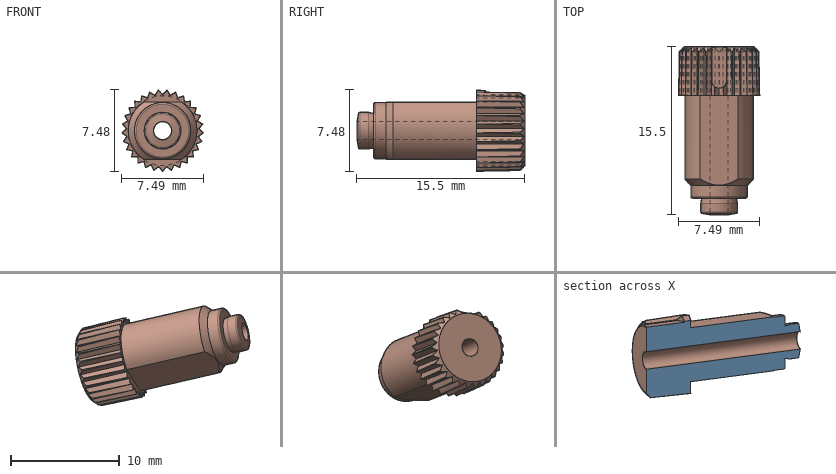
import math
import cadquery as cq

length = 15.5
bore_diameter = 1.65

tip_radius = 3.4 / 2
tip_dome_height = 0.12
tip_edge_radius = 0.15
tip_band_end = 1.05
neck_radius = 1.61

collar_radius = 5.2 / 2
collar_front = 1.53
collar_edge_radius = 0.17

body_radius = 3.16
body_front = 2.7
body_cone_length = 0.6
body_flat_distance = 5.27

tooth_count = 29
tooth_tip_radius = 3.75
tooth_root_radius = 3.33
knob_length = 4.5
knob_back_radius = 3.67
knob_chamfer = 0.46

slot_width = 1.35
slot_length = 3.83
slot_floor_height = 3.24

knob_front = length - knob_length
body_cone_end = body_front + body_cone_length


def ring_around_y(outline):
    """Turn a closed (radius, y) outline into a solid about the Y axis."""
    return outline.close().revolve(360, (0, 0, 0), (0, 1, 0))


def fillet_midpoint(radius, front, edge_radius):
    """Middle of the quarter arc that rounds a front outer edge, as (radius, y)."""
    setback = edge_radius * (1 - math.sqrt(0.5))
    return (radius - setback, front + setback)


def make_tip():
    face_radius = tip_radius - tip_edge_radius
    bore_radius = bore_diameter / 2
    edge_start = (face_radius, tip_dome_height)
    edge_end = (tip_radius, tip_dome_height + tip_edge_radius)
    outline = (
        cq.Workplane("XY")
        .moveTo(0, 0)
        .lineTo(bore_radius, 0)
        .lineTo(*edge_start)
        .threePointArc(fillet_midpoint(tip_radius, tip_dome_height, tip_edge_radius), edge_end)
        .lineTo(tip_radius, tip_band_end)
        .lineTo(neck_radius, collar_front)
        .lineTo(0, collar_front)
    )
    return ring_around_y(outline)


def make_collar():
    outline = (
        cq.Workplane("XY")
        .moveTo(0, collar_front)
        .lineTo(collar_radius - collar_edge_radius, collar_front)
        .threePointArc(
            fillet_midpoint(collar_radius, collar_front, collar_edge_radius),
            (collar_radius, collar_front + collar_edge_radius),
        )
        .lineTo(collar_radius, body_front)
        .lineTo(0, body_front)
    )
    return ring_around_y(outline)


def make_body():
    outline = (
        cq.Workplane("XY")
        .moveTo(0, body_front)
        .lineTo(collar_radius, body_front)
        .lineTo(body_radius, body_cone_end)
        .lineTo(body_radius, knob_front)
        .lineTo(0, knob_front)
    )
    between_flats = cq.Workplane("XY").box(
        2 * body_radius, 2 * length, body_flat_distance
    )
    return ring_around_y(outline).intersect(between_flats)


def make_knob():
    half_pitch = math.pi / tooth_count
    points = []
    for index in range(2 * tooth_count):
        radius = tooth_root_radius if index % 2 else tooth_tip_radius
        angle = index * half_pitch - math.pi / 2
        points.append((radius * math.cos(angle), radius * math.sin(angle)))
    teeth = (
        cq.Workplane("XZ", origin=(0, knob_front, 0))
        .polyline(points)
        .close()
        .extrude(-knob_length)
    )
    chamfer_start = length - knob_chamfer
    envelope = ring_around_y(
        cq.Workplane("XY")
        .moveTo(0, knob_front)
        .lineTo(tooth_tip_radius, knob_front)
        .lineTo(knob_back_radius, chamfer_start)
        .lineTo(knob_back_radius - knob_chamfer, length)
        .lineTo(0, length)
    )
    return teeth.intersect(envelope)


def make_slot():
    half_width = slot_width / 2
    slot_end = length - slot_length
    round_start = slot_end + half_width
    return (
        cq.Workplane("XY", origin=(0, 0, slot_floor_height))
        .moveTo(-half_width, length)
        .lineTo(-half_width, round_start)
        .threePointArc((0, slot_end), (half_width, round_start))
        .lineTo(half_width, length)
        .close()
        .extrude(tooth_tip_radius)
    )


bore = cq.Workplane("XZ").circle(bore_diameter / 2).extrude(-length)

result = (
    make_tip()
    .union(make_collar())
    .union(make_body())
    .union(make_knob())
    .cut(make_slot())
    .cut(bore)
)